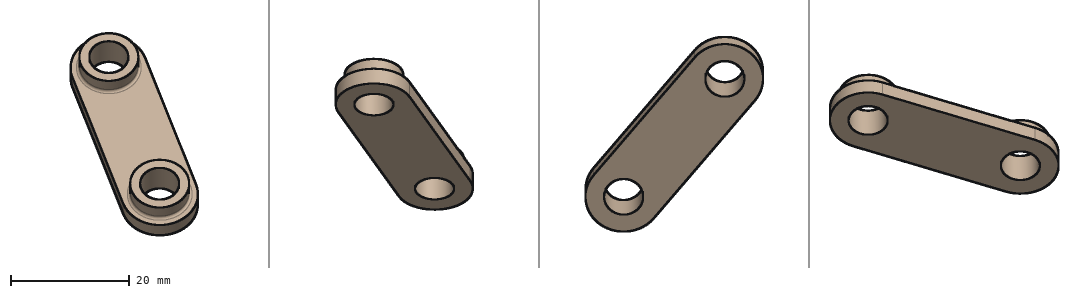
import cadquery as cq

length = 40.85
width = 13.0
total_height = 6.0
plate_thickness = total_height / 2

boss_diameter = 10.0
bore_diameter = 6.6
boss_root_fillet = 0.5
boss_spacing = length - width
boss_centers = [(-boss_spacing / 2, 0), (boss_spacing / 2, 0)]


def make_plate():
    return cq.Workplane("XY").slot2D(length, width).extrude(plate_thickness)


def add_bosses(body):
    bosses = (
        cq.Workplane("XY")
        .pushPoints(boss_centers)
        .circle(boss_diameter / 2)
        .extrude(total_height)
    )
    return body.union(bosses)


def fillet_boss_roots(body):
    root_slab = cq.selectors.BoxSelector(
        (-length, -width, plate_thickness - boss_root_fillet),
        (length, width, plate_thickness + boss_root_fillet),
    )
    root_circles = body.edges("%CIRCLE").edges(root_slab).edges(
        cq.selectors.RadiusNthSelector(0)
    )
    return root_circles.fillet(boss_root_fillet)


def cut_bores(body):
    bores = (
        cq.Workplane("XY")
        .pushPoints(boss_centers)
        .circle(bore_diameter / 2)
        .extrude(total_height)
    )
    return body.cut(bores)


result = cut_bores(fillet_boss_roots(add_bosses(make_plate())))